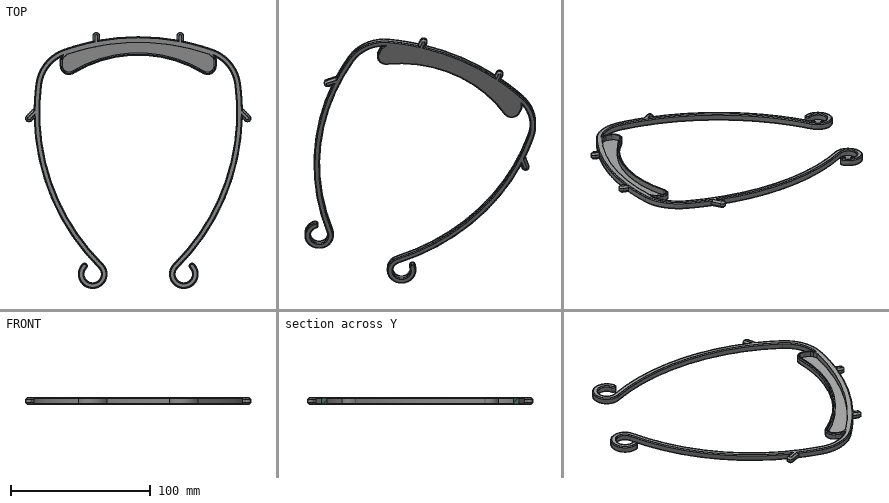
import cadquery as cq
import math

frame_length = 183.3
frame_width = 161.5
thickness = 5.0
edge_chamfer = 0.7
half_length = frame_length / 2

band_width = 4.0
crown_y = 88.7
crown_radius = 160.0
corner_radius = 30.2
corner_x = 43.3
side_radius = 156.5
hook_radius = 10.3
hook_x = 32.6
hook_tip_angle = 135

tray_wall = 1.6
tray_floor = 1.0
pocket_corner_chamfer = 1.8
tray_half_width = 55.9
tray_lower_y = 75.5
tray_lower_radius = 89.5
lobe_radius = 6.2
tray_shoulder_y = 72.4
tray_shoulder_slope = 65

peg_width = 5.0
peg_chamfer = 1.5
crown_peg_x = 30.0
crown_peg_length = 5.5
side_peg_tip_y = 30.2
side_peg_length = 7.0
side_peg_angle = 45

peg_radius = peg_width / 2


def polar(center, radius, degrees):
    angle = math.radians(degrees)
    return (center[0] + radius * math.cos(angle), center[1] + radius * math.sin(angle))


def direction(start, end):
    """Angle in degrees, from 0 to 360, of the line from start to end."""
    return math.degrees(math.atan2(end[1] - start[1], end[0] - start[0])) % 360


def right_hand_meeting(center_a, radius_a, center_b, radius_b):
    """Crossing of two circles that lies to the right of the line from a to b."""
    distance = math.dist(center_a, center_b)
    cosine = (radius_a**2 + distance**2 - radius_b**2) / (2 * radius_a * distance)
    return polar(center_a, radius_a, direction(center_a, center_b) - math.degrees(math.acos(cosine)))


def add_arc(sketch, center, radius, start, end):
    """Append an arc that runs from one angle to another about a centre."""
    return sketch.threePointArc(polar(center, radius, (start + end) / 2), polar(center, radius, end))


crown_center = (0, crown_y - crown_radius)
corner_center = (
    -corner_x,
    crown_center[1] + math.sqrt((crown_radius - corner_radius) ** 2 - corner_x**2),
)
hook_center = (-hook_x, hook_radius - half_length)
hook_inner_radius = hook_radius - band_width
side_center = right_hand_meeting(
    hook_center, side_radius + hook_inner_radius, corner_center, side_radius - corner_radius
)

crown_to_corner = direction(crown_center, corner_center)
corner_to_side = direction(side_center, corner_center)
side_to_hook = direction(side_center, hook_center)
hook_start = side_to_hook - 180
hook_end = hook_tip_angle - 360


def half_band():
    """Left half of the rim with its hook and rounded hook tip."""
    tip_center = polar(hook_center, hook_radius - band_width / 2, hook_end)
    band = cq.Workplane("XY").moveTo(0, crown_y)
    band = add_arc(band, crown_center, crown_radius, 90, crown_to_corner)
    band = add_arc(band, corner_center, corner_radius, crown_to_corner, corner_to_side)
    band = add_arc(band, side_center, side_radius, corner_to_side, side_to_hook)
    band = add_arc(band, hook_center, hook_inner_radius, hook_start, hook_end)
    band = add_arc(band, tip_center, band_width / 2, hook_end + 180, hook_end + 360)
    band = add_arc(band, hook_center, hook_radius, hook_end, hook_start)
    band = add_arc(band, side_center, side_radius - band_width, side_to_hook, corner_to_side)
    band = add_arc(band, corner_center, corner_radius - band_width, corner_to_side, crown_to_corner)
    band = add_arc(band, crown_center, crown_radius - band_width, crown_to_corner, 90)
    return band.close().extrude(thickness)


def tray_outline():
    """Tray outline; its upper edge lies one wall inside the rim."""
    upper_radius = crown_radius - band_width + tray_wall
    lower_center = (0, tray_lower_y - tray_lower_radius)
    lobe_x = tray_half_width - lobe_radius
    lobe_y = lower_center[1] + math.sqrt((tray_lower_radius + lobe_radius) ** 2 - lobe_x**2)
    left_lobe = (-lobe_x, lobe_y)
    right_lobe = (lobe_x, lobe_y)
    left_touch = direction(lower_center, left_lobe)
    right_touch = direction(lower_center, right_lobe)

    shoulder = (-tray_half_width, tray_shoulder_y)
    shoulder_distance = math.dist(crown_center, shoulder)
    shoulder_turn = 180 + tray_shoulder_slope - direction(crown_center, shoulder)
    cosine = math.cos(math.radians(shoulder_turn))
    sine = math.sin(math.radians(shoulder_turn))
    shoulder_length = shoulder_distance * cosine + math.sqrt(
        upper_radius**2 - (shoulder_distance * sine) ** 2
    )
    top_left = polar(shoulder, shoulder_length, tray_shoulder_slope)
    upper_left = direction(crown_center, top_left)

    tray = cq.Workplane("XY").moveTo(*top_left).lineTo(*shoulder).lineTo(-tray_half_width, lobe_y)
    tray = add_arc(tray, left_lobe, lobe_radius, 180, left_touch + 180)
    tray = add_arc(tray, lower_center, tray_lower_radius, left_touch, right_touch)
    tray = add_arc(tray, right_lobe, lobe_radius, right_touch - 180, 0)
    tray = tray.lineTo(tray_half_width, tray_shoulder_y)
    tray = tray.lineTo(-top_left[0], top_left[1])
    tray = add_arc(tray, crown_center, upper_radius, 180 - upper_left, upper_left)
    return tray.close()


def peg(tip_center, length, angle):
    """Chamfered round-ended peg running from its tip back into the rim."""
    middle = polar(tip_center, length / 2, angle)
    return (
        cq.Workplane("XY")
        .center(*middle)
        .slot2D(length + peg_width, peg_width, angle)
        .extrude(thickness)
        .faces("<Z or >Z")
        .edges()
        .chamfer(peg_chamfer)
    )


def mirrored(half):
    return half.union(half.mirror("YZ"))


body = mirrored(half_band()).union(tray_outline().extrude(thickness)).clean()
body = body.faces("<Z or >Z").edges().chamfer(edge_chamfer)

crown_peg = peg((-crown_peg_x, half_length - peg_radius), crown_peg_length, -90)
side_peg = peg((peg_radius - frame_width / 2, side_peg_tip_y), side_peg_length, side_peg_angle)
body = body.union(mirrored(crown_peg)).union(mirrored(side_peg))

pocket = tray_outline().offset2D(-tray_wall).extrude(thickness).translate((0, 0, tray_floor))
pocket = pocket.edges("|Z").edges(">Y").chamfer(pocket_corner_chamfer)
result = body.cut(pocket)